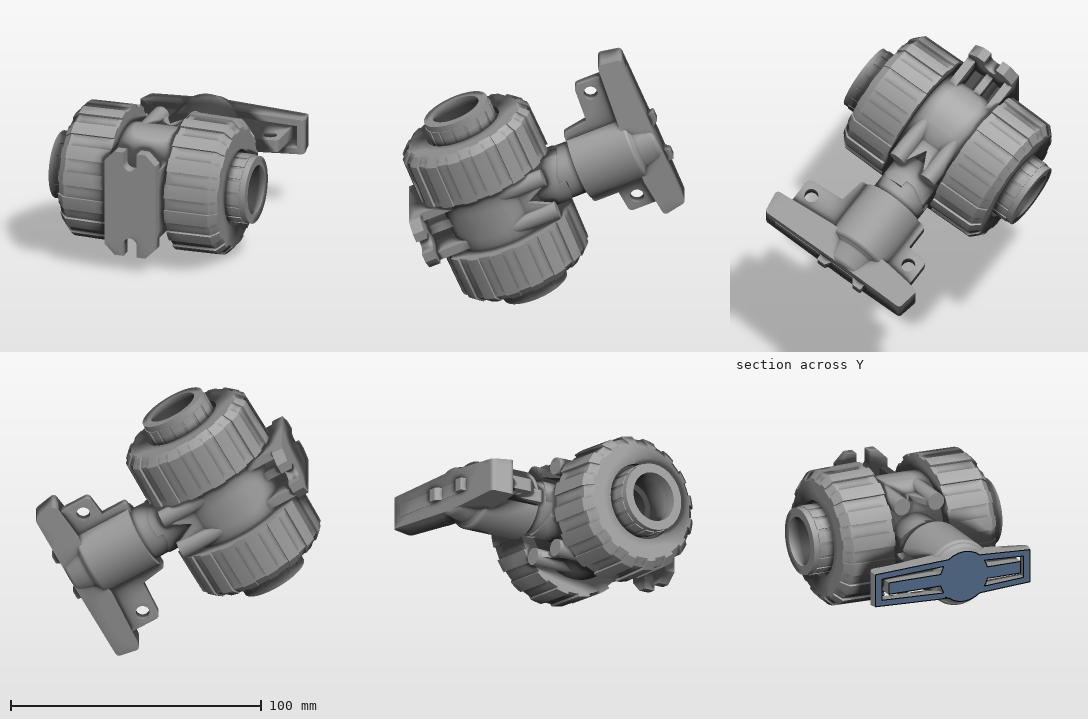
import cadquery as cq
import math


total_length = 83.2
pipe_bore_dia = 15.0
socket_dia = 20.0
socket_depth = 16.0
connector_dia = 27.3
body_dia = 42.0

pad_count = 16
pad_height = 0.4
pad_arc = 17.0
plain_lip = 2.4

nut_inner_x = 12.4
nut_outer_x = 33.7
nut_chamfer = 3.1
nut_radius = 27.8
nut_draft = 0.3
nut_groove_depth = 1.1
nut_groove_width = 5.3
nut_rib_count = 16
nut_recess_dia = 31.0
nut_recess_depth = 3.2

pillar_dia = 7.0
pillar_x = 7.5
pillar_z = 17.0
pillar_top = 23.7
web_half_height = 17.8
web_thickness = 2.3
notch_bottom = 14.0
notch_half_slope = 0.52

stem_radius = 11.5
stem_flat_x = 10.1
sleeve_dia = 22.0
ratchet_low = 27.6
ratchet_high = 30.9
stem_tooth_top = 30.3
ratchet_flat = 3.5
ratchet_count = 4

hub_radius = 13.7
hub_bottom = 36.4
hub_shoulder = 59.5
shoulder_end_radius = 12.5
shoulder_end_y = 61.1
cap_base_radius = 11.3
cap_base_y = 62.1
cap_top_radius = 9.7
cap_round = 1.5
hub_slot_height = 7.0
hub_slot_top = 61.3
core_top = 47.5

handle_top = 70.2
handle_left_top, handle_left_base = -28.4, -30.1
handle_right_top, handle_right_base = 38.5, 39.9
handle_end_y = 60.4
handle_middle_y = 58.6
handle_half_width = 8.1
handle_end_half_width = 6.4
handle_side_draft = 4.4
handle_corner = 1.6
handle_wall = 2.6

insert_thickness = 5.1
insert_left, insert_right = -25.0, 33.4
insert_hole_dia = 5.5
insert_hole_y = 52.8
insert_hole_inset = 5.1
insert_foot = 35.8
insert_top = 70.4
lug_top = 72.7
lug_half_span = 10.8

plate_face_y = -33.0
plate_thickness = 4.8
plate_half_width = 10.8
plate_half_height = 22.1
plate_chamfer = 4.2
plate_slot_width = 5.7
plate_slot_depth = 7.7
side_rib_thickness = 3.5
side_rib_half_height = 14.4
middle_rib_thickness = 3.1
middle_rib_half_height = 8.9
post_dia = 8.3
cross_web_thickness = 3.2

overcut = 1.1

half_length = total_length / 2
sleeve_radius = sleeve_dia / 2
plate_back_y = plate_face_y + plate_thickness


def block(x0, x1, y0, y1, z0, z1):
    return cq.Workplane("XY").box(x1 - x0, y1 - y0, z1 - z0, centered=False).translate((x0, y0, z0))


def x_cylinder(diameter, x0, x1):
    return cq.Workplane("YZ").workplane(offset=x0).circle(diameter / 2).extrude(x1 - x0)


def y_cylinder(diameter, y0, y1, x=0, z=0):
    return cq.Workplane("XZ", origin=(x, y0, z)).circle(diameter / 2).extrude(y0 - y1)


def centred_prism(points, height):
    return cq.Workplane("XY").polyline(points).close().extrude(height / 2, both=True)


def round_corner(prism, x, y, radius):
    nearest = cq.selectors.NearestToPointSelector((x, y, 0))
    return prism.edges("|Z").edges(nearest).fillet(radius)


def both_ends(shape):
    return shape.union(shape.mirror("YZ"))


def nut_blank(radius):
    rim_x = nut_outer_x - nut_chamfer
    rim_radius = radius - nut_draft
    profile = [
        (nut_inner_x, 0),
        (nut_inner_x, radius),
        (rim_x, rim_radius),
        (nut_outer_x, rim_radius - nut_chamfer),
        (nut_outer_x, 0),
    ]
    return cq.Workplane("XY").polyline(profile).close().revolve(360, (0, 0, 0), (1, 0, 0))


def union_nut():
    ribs = nut_blank(nut_radius)
    half = nut_groove_width / 2
    groove = block(
        nut_inner_x - overcut, nut_outer_x + overcut, -half, half,
        nut_radius / 2, nut_radius + overcut,
    )
    for i in range(nut_rib_count):
        ribs = ribs.cut(groove.rotate((0, 0, 0), (1, 0, 0), i * 360 / nut_rib_count))
    nut = ribs.union(nut_blank(nut_radius - nut_groove_depth))
    return nut.cut(x_cylinder(nut_recess_dia, nut_outer_x - nut_recess_depth, nut_outer_x))


def end_connector():
    start_x = nut_outer_x - nut_recess_depth
    connector = x_cylinder(connector_dia, start_x, half_length)
    pad_ring = x_cylinder(connector_dia + 2 * pad_height, start_x, half_length - plain_lip)
    reach = connector_dia
    spread = reach * math.tan(math.radians(pad_arc / 2))
    wedge = (
        cq.Workplane("YZ").workplane(offset=start_x)
        .polyline([(0, 0), (-spread, reach), (spread, reach)]).close()
        .extrude(half_length - start_x)
    )
    pad = pad_ring.intersect(wedge)
    for i in range(pad_count):
        connector = connector.union(pad.rotate((0, 0, 0), (1, 0, 0), i * 360 / pad_count))
    return connector


def body():
    shape = x_cylinder(body_dia, -nut_inner_x, nut_inner_x)
    web_bottom = web_half_height - web_thickness
    web = block(-pillar_x, pillar_x, 0, pillar_top, web_bottom, web_half_height)
    notch_half = (pillar_top - notch_bottom) * notch_half_slope
    notch = centred_prism(
        [(0, notch_bottom), (notch_half, pillar_top), (-notch_half, pillar_top)],
        2 * web_half_height,
    )
    web = web.cut(notch)
    shape = shape.union(web).union(web.mirror("XY"))
    for x in (-pillar_x, pillar_x):
        for z in (-pillar_z, pillar_z):
            shape = shape.union(y_cylinder(pillar_dia, 0, pillar_top, x, z))
    return shape


def ratchet_gaps():
    reach = stem_radius + overcut
    slope = (ratchet_high - ratchet_low) / (sleeve_radius - ratchet_flat)
    gap = (
        cq.Workplane("XY")
        .polyline([
            (-ratchet_flat, ratchet_low),
            (-reach, ratchet_low),
            (-reach, ratchet_low + slope * (reach - ratchet_flat)),
        ]).close()
        .extrude(reach)
    )
    gaps = gap
    for i in range(1, ratchet_count):
        gaps = gaps.union(gap.rotate((0, 0, 0), (0, 1, 0), i * 360 / ratchet_count))
    return gaps


def stem_and_sleeve():
    gaps = ratchet_gaps()
    sleeve = y_cylinder(sleeve_dia, ratchet_low, core_top).cut(gaps)
    teeth = y_cylinder(2 * stem_radius, ratchet_low, stem_tooth_top).intersect(gaps)
    stem = y_cylinder(2 * stem_radius, 0, ratchet_low).union(teeth)
    flats = block(-stem_flat_x, stem_flat_x, 0, core_top, -stem_radius, stem_radius)
    return stem.intersect(flats).union(sleeve)


def handle_block(inset):
    """Drafted crossbar, shrunk by the inset at the top, ends and sides, lowered by it underneath."""
    corners = [
        (handle_left_top + inset, handle_top - inset),
        (handle_left_base + inset, handle_end_y - inset),
        (handle_right_base - inset, handle_end_y - inset),
        (handle_right_top - inset, handle_top - inset),
    ]
    middle_y = handle_middle_y - inset
    underside = [(-hub_radius, middle_y), (hub_radius, middle_y)]
    outline = centred_prism(corners[:2] + underside + corners[2:], 2 * hub_radius)
    if inset == 0:
        for x, y in corners:
            outline = round_corner(outline, x, y, handle_corner)
    middle = handle_half_width - inset
    end = handle_end_half_width - inset
    plan = (
        cq.Workplane("XZ", origin=(0, handle_top, 0))
        .polyline([
            (handle_left_base, end), (0, middle), (handle_right_base, end),
            (handle_right_base, -end), (0, -middle), (handle_left_base, -end),
        ]).close()
        .extrude(handle_top - middle_y, taper=-handle_side_draft)
    )
    return outline.intersect(plan)


def handle_hub():
    cap_edge = (cap_top_radius - cap_round, handle_top)
    profile = (
        cq.Workplane("XY")
        .moveTo(0, hub_bottom)
        .lineTo(hub_radius, hub_bottom)
        .lineTo(hub_radius, hub_shoulder)
        .tangentArcPoint((shoulder_end_radius, shoulder_end_y), relative=False)
        .lineTo(cap_base_radius, cap_base_y)
        .lineTo(cap_top_radius, handle_top - cap_round)
        .tangentArcPoint(cap_edge, relative=False)
        .lineTo(0, handle_top)
        .close()
    )
    hub = profile.revolve(360, (0, 0, 0), (0, 1, 0))
    half = hub_slot_height / 2
    return hub.cut(block(-hub_radius, hub_radius, hub_bottom, hub_slot_top, -half, half))


def handle_insert():
    """Flat padlock plate running through the slotted hub and the hollow crossbar."""
    lug_inner = 5.3
    lug_flat = 7.0
    tab_bottom = 47.7
    tab_root = 46.6
    buried_top = handle_top - handle_wall / 2
    foot_half_width = 15.7
    right_root_x = 17.5
    tab_round = 1.9
    foot_round = 1.3
    lug_round = 0.6
    points = [
        (-lug_half_span, lug_top),
        (-lug_flat, lug_top),
        (-lug_inner, insert_top),
        (lug_inner, insert_top),
        (lug_flat, lug_top),
        (lug_half_span, lug_top),
        (lug_half_span, insert_top),
        (insert_right, insert_top),
        (insert_right, tab_bottom),
        (right_root_x, tab_root),
        (foot_half_width, insert_foot),
        (-foot_half_width, insert_foot),
        (-foot_half_width, tab_root),
        (insert_left, tab_bottom),
        (insert_left, buried_top),
        (-lug_half_span, buried_top),
    ]
    plate = centred_prism(points, insert_thickness)
    for x in (insert_left, insert_right):
        plate = round_corner(plate, x, tab_bottom, tab_round)
    for x in (-foot_half_width, foot_half_width):
        plate = round_corner(plate, x, insert_foot, foot_round)
    for x in (-lug_half_span, lug_half_span):
        plate = round_corner(plate, x, lug_top, lug_round)
    holes = (
        cq.Workplane("XY")
        .pushPoints([
            (insert_left + insert_hole_inset, insert_hole_y),
            (insert_right - insert_hole_inset, insert_hole_y),
        ])
        .circle(insert_hole_dia / 2)
        .extrude(insert_thickness, both=True)
    )
    return plate.cut(holes)


def bracket():
    plate = block(
        -plate_half_width, plate_half_width, plate_face_y, plate_back_y,
        -plate_half_height, plate_half_height,
    ).edges("|Y").chamfer(plate_chamfer)
    slot_end = plate_half_height - plate_slot_depth + plate_slot_width / 2
    half_slot = plate_slot_width / 2
    slot = block(-half_slot, half_slot, plate_face_y, plate_back_y, slot_end, plate_half_height)
    slot = slot.union(y_cylinder(plate_slot_width, plate_face_y, plate_back_y, 0, slot_end))
    plate = plate.cut(slot).cut(slot.mirror("XY"))

    rib_inner = plate_half_width - side_rib_thickness
    side_rib = block(
        rib_inner, plate_half_width, plate_back_y, 0,
        -side_rib_half_height, side_rib_half_height,
    )
    half_rib = middle_rib_thickness / 2
    middle_rib = block(
        -half_rib, half_rib, plate_back_y, 0, -middle_rib_half_height, middle_rib_half_height,
    )
    half_web = cross_web_thickness / 2
    cross_web = block(-rib_inner, rib_inner, plate_back_y, 0, -half_web, half_web)
    post = y_cylinder(post_dia, plate_back_y, 0)
    return plate.union(both_ends(side_rib)).union(middle_rib).union(cross_web).union(post)


result = body().union(stem_and_sleeve())
result = result.union(handle_block(0).cut(handle_block(handle_wall)))
result = result.union(handle_hub()).union(handle_insert()).union(bracket())
result = result.union(both_ends(union_nut().union(end_connector())))

socket = x_cylinder(socket_dia, half_length - socket_depth, half_length)
result = result.cut(x_cylinder(pipe_bore_dia, -half_length, half_length)).cut(both_ends(socket))